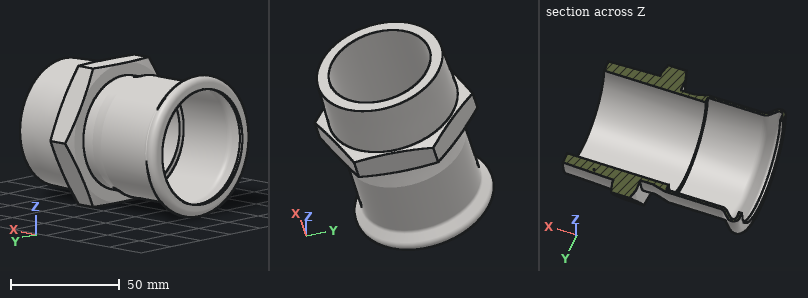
import cadquery as cq
import math

length = 87.0
tube_radius = 57.0 / 2
wall = 1.6
bead_radius = 3.05
bead_outer_radius = 66.0 / 2
bead_blend_radius = 2.2
socket_radius = tube_radius - wall
socket_depth = 37.0

neck_radius = 53.4 / 2
neck_start = 43.9
bore_radius = 48.4 / 2

hex_corner_diameter = 75.1
hex_start = 49.9
hex_end = 61.9
hex_chamfer_angle = math.radians(15)

male_root_radius = 61.5 / 2
male_end_radius = 59.8 / 2

diagonal = math.sqrt(0.5)
bead_center_radius = bead_outer_radius - bead_radius
blend_center_radius = tube_radius + bead_blend_radius
blend_center_x = (
    bead_radius
    + (bead_radius + bead_blend_radius) / diagonal
    - (blend_center_radius - bead_center_radius)
)


def polar(x, radius, distance, along, outward):
    """Point at a distance from a center in the axial half plane."""
    return x + distance * along, radius + distance * outward


def add_bead(profile, crest, blend):
    """Continue a profile from the bead front, over its crest, down to the end of its blend."""
    tilt = math.radians(45) / 2
    return (
        profile
        .threePointArc(
            polar(bead_radius, bead_center_radius, crest, -math.sin(tilt), math.cos(tilt)),
            polar(bead_radius, bead_center_radius, crest, diagonal, diagonal),
        )
        .lineTo(*polar(blend_center_x, blend_center_radius, blend, -diagonal, -diagonal))
        .threePointArc(
            polar(blend_center_x, blend_center_radius, blend, -math.sin(tilt), -math.cos(tilt)),
            (blend_center_x, blend_center_radius - blend),
        )
    )


def revolve_about_x(profile):
    return profile.close().revolve(360, (0, 0, 0), (1, 0, 0))


def make_body():
    profile = cq.Workplane("XY").lineTo(0, bead_center_radius)
    profile = add_bead(profile, bead_radius, bead_blend_radius)
    profile = (
        profile
        .lineTo(socket_depth, tube_radius)
        .lineTo(neck_start, neck_radius)
        .lineTo(hex_end, neck_radius)
        .lineTo(hex_end, male_root_radius)
        .lineTo(length, male_end_radius)
        .lineTo(length, 0)
    )
    return revolve_about_x(profile)


def make_hexagon():
    """Hexagon with corners on the Y axis, chamfered by a cone on both faces."""
    corner_radius = hex_corner_diameter / 2
    flat_radius = corner_radius * math.cos(math.pi / 6)
    chamfer_depth = (corner_radius - flat_radius) * math.tan(hex_chamfer_angle)
    prism = (
        cq.Workplane("YZ", origin=(hex_start, 0, 0))
        .polygon(6, hex_corner_diameter)
        .extrude(hex_end - hex_start)
    )
    envelope = revolve_about_x(
        cq.Workplane("XY")
        .moveTo(hex_start, 0)
        .lineTo(hex_start, flat_radius)
        .lineTo(hex_start + chamfer_depth, corner_radius)
        .lineTo(hex_end - chamfer_depth, corner_radius)
        .lineTo(hex_end, flat_radius)
        .lineTo(hex_end, 0)
    )
    return prism.intersect(envelope)


def make_cavity():
    """Mouth, seal groove inside the bead, socket and through bore."""
    profile = (
        cq.Workplane("XY")
        .lineTo(0, socket_radius)
        .lineTo(wall, socket_radius)
        .lineTo(wall, bead_center_radius)
    )
    profile = add_bead(profile, bead_radius - wall, bead_blend_radius + wall)
    profile = (
        profile
        .lineTo(socket_depth, socket_radius)
        .lineTo(socket_depth, bore_radius)
        .lineTo(length, bore_radius)
        .lineTo(length, 0)
    )
    return revolve_about_x(profile)


result = make_body().union(make_hexagon()).cut(make_cavity())